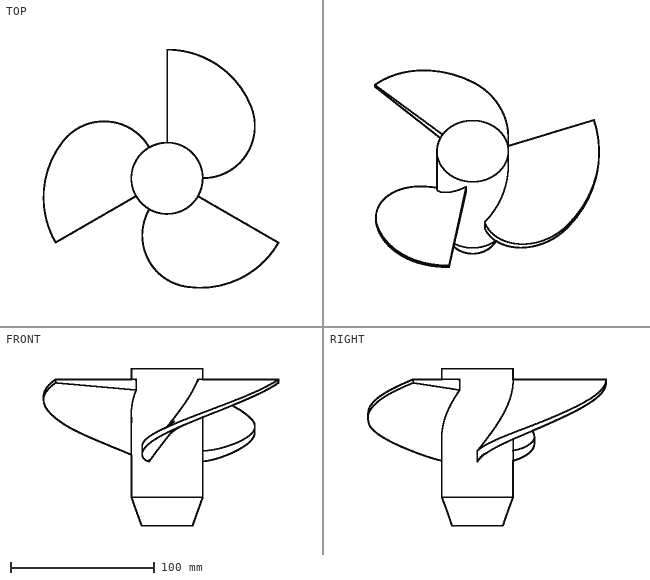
import cadquery as cq
import math

HUB_RADIUS = 25.0
HUB_HEIGHT = 110.0
NOSE_HEIGHT = 20.0
NOSE_RADIUS = 17.8

BLADE_COUNT = 3
BLADE_SWEEP = 90.0
BLADE_RISE = 50.0
BLADE_TOP_GAP = 7.5
TIP_RADIUS = 90.0
ROOT_THICKNESS = 7.5
TIP_THICKNESS = 2.5

TIP_ARC_RADIUS = 63.3
LOW_ARC_X = HUB_RADIUS

INNER_RADIUS = 8.3
OUTER_RADIUS = TIP_RADIUS + 1.7


def make_hub():
    profile = [
        (0, 0),
        (NOSE_RADIUS, 0),
        (HUB_RADIUS, NOSE_HEIGHT),
        (HUB_RADIUS, HUB_HEIGHT),
        (0, HUB_HEIGHT),
    ]
    return cq.Workplane("XZ").polyline(profile).close().revolve(360, (0, 0), (0, 1))


def thickness_at(radius):
    slope = (TIP_THICKNESS - ROOT_THICKNESS) / (TIP_RADIUS - HUB_RADIUS)
    return ROOT_THICKNESS + slope * (radius - HUB_RADIUS)


def make_helicoid():
    """Sweep the tapered radial section along a quarter turn of a helix."""
    section = [
        (INNER_RADIUS, 0),
        (OUTER_RADIUS, 0),
        (OUTER_RADIUS, -thickness_at(OUTER_RADIUS)),
        (INNER_RADIUS, -thickness_at(INNER_RADIUS)),
    ]
    pitch = BLADE_RISE * 360.0 / BLADE_SWEEP
    path = cq.Workplane(obj=cq.Wire.makeHelix(pitch, BLADE_RISE, HUB_RADIUS))
    helicoid = cq.Workplane("XZ").polyline(section).close().sweep(path, isFrenet=True)
    low_edge_z = HUB_HEIGHT - BLADE_TOP_GAP - BLADE_RISE
    return helicoid.translate((0, 0, low_edge_z))


def make_plan_prism():
    """Upright prism with the plan outline of one blade."""
    tip_arc_y = TIP_RADIUS - TIP_ARC_RADIUS
    low_arc_radius = (TIP_ARC_RADIUS**2 - LOW_ARC_X**2 - tip_arc_y**2) / (2 * (TIP_ARC_RADIUS - tip_arc_y))
    join_angle = math.atan2(low_arc_radius - tip_arc_y, LOW_ARC_X)

    def on_low_arc(angle):
        x = LOW_ARC_X + low_arc_radius * math.cos(angle)
        y = low_arc_radius + low_arc_radius * math.sin(angle)
        return (x, y)

    def on_tip_arc(angle):
        x = TIP_ARC_RADIUS * math.cos(angle)
        y = tip_arc_y + TIP_ARC_RADIUS * math.sin(angle)
        return (x, y)

    low_middle = (join_angle - math.pi / 2) / 2
    tip_middle = (join_angle + math.pi / 2) / 2
    return (
        cq.Workplane("XY")
        .lineTo(LOW_ARC_X, 0)
        .threePointArc(on_low_arc(low_middle), on_low_arc(join_angle))
        .threePointArc(on_tip_arc(tip_middle), (0, TIP_RADIUS))
        .close()
        .extrude(HUB_HEIGHT)
    )


blade = make_helicoid().intersect(make_plan_prism())
result = make_hub()
for index in range(BLADE_COUNT):
    result = result.union(blade.rotate((0, 0, 0), (0, 0, 1), index * 360.0 / BLADE_COUNT))